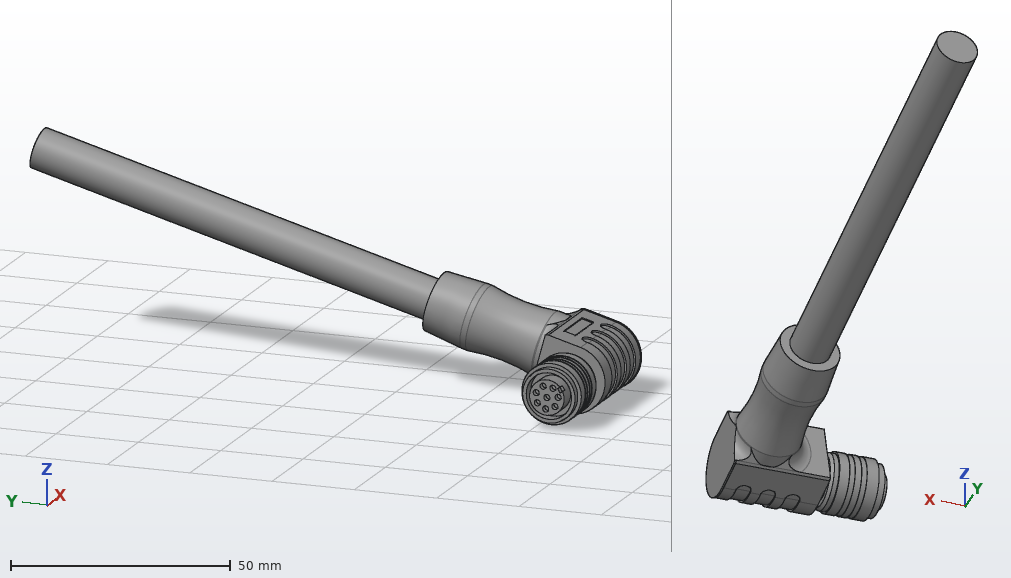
import cadquery as cq
import math


tilt = 15.45
outer_length = 144.7

housing_radius = 8.1
cap_radius = 8.2
cap_thickness = 0.5
housing_left = -15.3
housing_right = 8.0
housing_length = housing_right - housing_left
housing_end = 8.8
bevel_length = 0.7
bevel_height = 0.3

cable_radius = 4.9
cable_end = (
    outer_length - cap_radius - cable_radius * math.sin(math.radians(tilt))
) / math.cos(math.radians(tilt))

sleeve_start = 12.3
sleeve_end = 40.1
sleeve_end_radius = 7.2
sleeve_radius = 8.0
sleeve_waist_radius = 7.16
band_start = 29
band_end = 30.4
flare_radius = 11.3
flare_shoulder = 6.1
flare_sag = 0.7

groove_count = 3
groove_width = 3.5
groove_pitch = 6.0
first_groove_x = -9.1
groove_depth = 0.5
groove_end = 1.9

label_left = -9.4
label_right = 2.5
label_front = 3.6
label_back = 6.5
label_depth = 0.3

plug_tip = -31.4
nut_front = -30.1
nut_grip_front = -28.4
nut_grip_back = -18.8
nut_back = -17.0
plug_radius = 4.2
nut_front_radius = 6.4
nut_grip_radius = 7.2
nut_back_radius = 6.8
nut_back_chamfer = 0.7
nut_bore_radius = 5.5
nut_bore_depth = 2.9
neck_radius = 4.8
ring_groove_starts = [-25.5, -22.5]
ring_groove_width = 1.3
ring_groove_depth = 0.1

contact_radius = 0.7
contact_depth = 1.5
contact_circle_radius = 2.7
outer_contacts = 7
first_contact_angle = 22
key_angle = 48
key_width = 1.2
key_depth = 0.7


def housing_prism(left, right, radius):
    """Prism along X with a round end at -Y and a flat, bevelled end at +Y."""
    return (
        cq.Workplane("YZ", origin=(left, 0, 0))
        .moveTo(housing_end, bevel_height - radius)
        .lineTo(housing_end - bevel_length, -radius)
        .lineTo(0, -radius)
        .threePointArc((-radius, 0), (0, radius))
        .lineTo(housing_end - bevel_length, radius)
        .lineTo(housing_end, radius - bevel_height)
        .close()
        .extrude(right - left)
    )


def cylinder_x(left, right, radius):
    return cq.Workplane("YZ", origin=(left, 0, 0)).circle(radius).extrude(right - left)


def grip_groove(x):
    """Band following the housing outline, with rounded ends on its flat faces."""
    straight_end = groove_end - groove_width / 2
    reach = 2 * housing_radius
    strip = (
        cq.Workplane("XY", origin=(x, 0, -reach))
        .moveTo(-groove_width / 2, -reach)
        .lineTo(-groove_width / 2, straight_end)
        .threePointArc((0, groove_end), (groove_width / 2, straight_end))
        .lineTo(groove_width / 2, -reach)
        .close()
        .extrude(2 * reach)
    )
    core = housing_prism(housing_left, housing_right, housing_radius - groove_depth)
    return strip.cut(core)


def make_housing():
    housing = housing_prism(housing_left, housing_right, housing_radius)
    for i in range(groove_count):
        housing = housing.cut(grip_groove(first_groove_x + i * groove_pitch))
    label = cq.Workplane("XY").box(
        label_right - label_left, label_back - label_front, label_depth, centered=False
    )
    label = label.translate((label_left, label_front, housing_radius - label_depth))
    cap = housing_prism(housing_right - cap_thickness, housing_right, cap_radius)
    return housing.cut(label).union(cap)


def make_flare():
    """Flared foot of the sleeve, kept within the housing sides and sloped above and below."""
    middle = (
        (sleeve_radius + flare_radius) / 2 - flare_sag,
        (sleeve_start + housing_end) / 2 - flare_sag,
    )
    flare = (
        cq.Workplane("XY")
        .moveTo(0, housing_end)
        .lineTo(0, sleeve_start)
        .lineTo(sleeve_radius, sleeve_start)
        .threePointArc(middle, (flare_radius, housing_end))
        .close()
        .revolve(360, (0, 0, 0), (0, 1, 0))
    )
    foot_height = housing_radius - bevel_height
    trim = (
        cq.Workplane("YZ", origin=(housing_left, 0, 0))
        .moveTo(housing_end, -foot_height)
        .lineTo(housing_end, foot_height)
        .lineTo(sleeve_start, flare_shoulder)
        .lineTo(sleeve_start, -flare_shoulder)
        .close()
        .extrude(housing_length)
    )
    return flare.intersect(trim)


def make_sleeve():
    waist = (sleeve_waist_radius, (sleeve_start + band_start) / 2)
    return (
        cq.Workplane("XY")
        .moveTo(0, housing_end)
        .lineTo(sleeve_radius, housing_end)
        .lineTo(sleeve_radius, sleeve_start)
        .threePointArc(waist, (sleeve_radius, band_start))
        .lineTo(sleeve_radius, band_end)
        .lineTo(sleeve_end_radius, sleeve_end)
        .lineTo(0, sleeve_end)
        .close()
        .revolve(360, (0, 0, 0), (0, 1, 0))
    )


def make_cable():
    return cq.Workplane("XZ").circle(cable_radius).extrude(-cable_end)


def make_nut():
    back_ring = cylinder_x(nut_grip_back, nut_back, nut_back_radius)
    nut = (
        cylinder_x(nut_front, nut_grip_front, nut_front_radius)
        .union(cylinder_x(nut_grip_front, nut_grip_back, nut_grip_radius))
        .union(back_ring.faces(">X").chamfer(nut_back_chamfer))
        .cut(cylinder_x(nut_front, nut_front + nut_bore_depth, nut_bore_radius))
    )
    for start in ring_groove_starts:
        stop = start + ring_groove_width
        core = cylinder_x(start, stop, nut_grip_radius - ring_groove_depth)
        nut = nut.cut(cylinder_x(start, stop, nut_grip_radius).cut(core))
    return nut


def make_plug():
    plug = cylinder_x(plug_tip, nut_back, plug_radius)
    contact = cylinder_x(plug_tip, plug_tip + contact_depth, contact_radius)
    plug = plug.cut(contact)
    for i in range(outer_contacts):
        angle = first_contact_angle + i * 360 / outer_contacts
        hole = contact.translate((0, -contact_circle_radius, 0))
        plug = plug.cut(hole.rotate((0, 0, 0), (-1, 0, 0), angle))
    key = cq.Workplane("XY").box(2 * contact_depth, 2 * key_depth, key_width)
    key = key.translate((plug_tip, -plug_radius, 0))
    return plug.cut(key.rotate((0, 0, 0), (-1, 0, 0), key_angle))


neck = cylinder_x(nut_back, housing_left, neck_radius)

result = (
    make_housing()
    .union(make_flare())
    .union(make_sleeve())
    .union(make_cable())
    .union(neck)
    .union(make_nut())
    .union(make_plug())
    .rotate((0, 0, 0), (1, 0, 0), tilt)
)